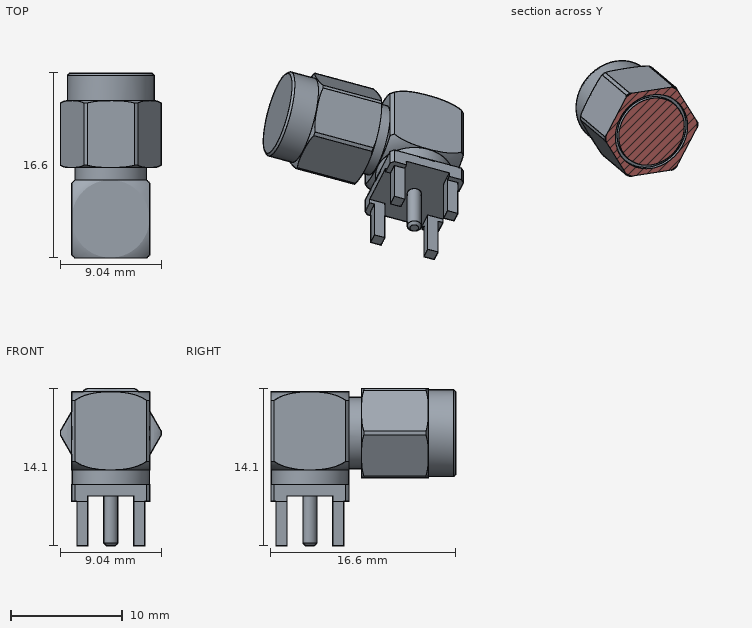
import cadquery as cq
import math


body_side = 7.0
body_edge_chamfer = 0.3
body_top_z = 3.7
body_bottom_z = body_top_z - body_side
body_face_radius = 6.95 / 2
body_corner_radius = math.hypot(body_side / 2, body_side / 2 - body_edge_chamfer)
body_bevel_drop = 0.77
body_bevel_bulge = 0.1

stem_radius = 6.95 / 2
stem_height = 1.3
stem_bottom_z = body_bottom_z - stem_height

plate_thickness = 1.05
pad_height = 0.45
leg_pitch = 5.08
leg_width = 1.0
leg_length = 4.0
plate_bottom_z = stem_bottom_z - plate_thickness
pad_bottom_z = plate_bottom_z - pad_height
leg_bottom_z = pad_bottom_z - leg_length
pad_gap = leg_pitch - leg_width
pin_radius = 1.27 / 2
pin_chamfer = 0.25

neck_radius = 6.42 / 2
neck_length = 1.1
nut_length = 6.0
nut_across_flats = 8.0
nut_corner_radius = 9.04 / 2
nut_face_radius = 7.8 / 2
nut_bevel_drop = 0.22
nut_bevel_bulge = 0.04
nut_recess_radius = 7.0 / 2
nut_recess_depth = 0.5
sleeve_radius = 7.8 / 2
sleeve_length = 2.45
sleeve_chamfer = 0.2
nut_back_y = body_side / 2 + neck_length


def bevelled_envelope(length, face_radius, outer_radius, bevel_drop, bevel_bulge):
    """Cylinder on Z from 0 to length, rounded down to face_radius at both ends.

    The bevel falls by bevel_drop and its arc stands bevel_bulge proud of its chord.
    """
    width = outer_radius - face_radius
    chord = math.hypot(width, bevel_drop)
    middle_radius = face_radius + width / 2 + bevel_bulge * bevel_drop / chord
    middle_drop = bevel_drop / 2 - bevel_bulge * width / chord
    profile = (
        cq.Workplane("XZ")
        .lineTo(face_radius, 0)
        .threePointArc((middle_radius, middle_drop), (outer_radius, bevel_drop))
        .lineTo(outer_radius, length - bevel_drop)
        .threePointArc((middle_radius, length - middle_drop), (face_radius, length))
        .lineTo(0, length)
        .close()
    )
    return profile.revolve(360, (0, 0, 0), (0, 1, 0))


def chamfered_square(bottom_z, height):
    """Square block of the body's section, with its four upright edges chamfered."""
    block = cq.Workplane("XY", origin=(0, 0, bottom_z)).rect(body_side, body_side).extrude(height)
    return block.edges("|Z").chamfer(body_edge_chamfer)


def along_coupling(shape, start_y):
    """Turn a shape built up +Z so that it points along +Y from start_y."""
    return shape.rotate((0, 0, 0), (1, 0, 0), -90).translate((0, start_y, 0))


def make_body():
    envelope = bevelled_envelope(
        body_side, body_face_radius, body_corner_radius, body_bevel_drop, body_bevel_bulge
    )
    return chamfered_square(body_bottom_z, body_side).intersect(envelope.translate((0, 0, body_bottom_z)))


def make_stem():
    return cq.Workplane("XY", origin=(0, 0, stem_bottom_z)).circle(stem_radius).extrude(stem_height)


def make_mount():
    """Plate with corner pads left by two crossing channels, legs and centre pin."""
    mount = chamfered_square(pad_bottom_z, plate_thickness + pad_height)
    pad_plane = cq.Workplane("XY", origin=(0, 0, pad_bottom_z))
    for channel_x, channel_y in ((pad_gap, body_side), (body_side, pad_gap)):
        mount = mount.cut(pad_plane.rect(channel_x, channel_y).extrude(pad_height))
    legs = (
        cq.Workplane("XY", origin=(0, 0, leg_bottom_z))
        .rarray(leg_pitch, leg_pitch, 2, 2)
        .rect(leg_width, leg_width)
        .extrude(leg_length)
    )
    pin = (
        cq.Workplane("XY", origin=(0, 0, leg_bottom_z))
        .circle(pin_radius)
        .extrude(plate_bottom_z - leg_bottom_z)
        .faces("<Z")
        .chamfer(pin_chamfer)
    )
    return mount.union(legs).union(pin)


def make_coupling():
    """Hex nut with a shallow rear recess around the neck, and its front sleeve."""
    across_corners = nut_across_flats / math.cos(math.pi / 6)
    nut = cq.Workplane("XY").polygon(6, across_corners).extrude(nut_length)
    envelope = bevelled_envelope(
        nut_length, nut_face_radius, nut_corner_radius, nut_bevel_drop, nut_bevel_bulge
    )
    nut = nut.intersect(envelope)
    nut = nut.cut(cq.Workplane("XY").circle(nut_recess_radius).extrude(nut_recess_depth))
    sleeve = (
        cq.Workplane("XY", origin=(0, 0, nut_length))
        .circle(sleeve_radius)
        .extrude(sleeve_length)
        .faces(">Z")
        .chamfer(sleeve_chamfer)
    )
    neck_overlap = neck_length + nut_recess_depth
    neck = cq.Workplane("XY").circle(neck_radius).extrude(neck_overlap).translate((0, 0, -neck_length))
    return along_coupling(nut.union(sleeve).union(neck), nut_back_y)


result = make_body().union(make_stem()).union(make_mount()).union(make_coupling())